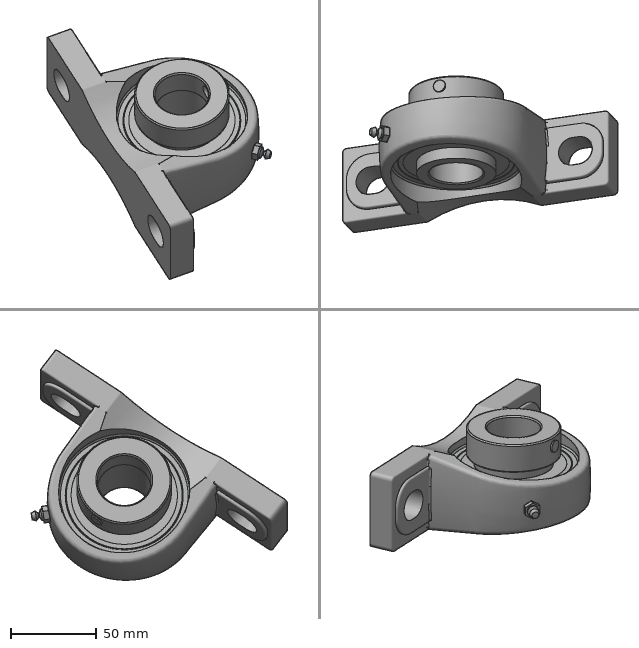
import cadquery as cq
import math

base_length = 167.0
base_thickness = 15.5
base_width = 47.8
base_corner_radius = 2.7
notch_half_length = 35.7
notch_depth = 8.2
notch_edge_radius = 2.5
rounded_edge_start = 41.4
small_radius = 1.0

pad_height = 2.2
pad_length = 43.5
pad_width = 34.7
pad_end_x = 80.3
pad_corner_radius = 14.4
slot_length = 21.0
slot_width = 17.4
slot_x = 63.5

bore_height = 47.8
body_radius = 45.3
body_crown_drop = 2.2
leg_draft = 1.0
body_slope = 8.0
body_edge_radius = 2.5

opening_diameter = 77.0
opening_chamfer = 1.0
ledge_z = 10.4

ring_sphere_diameter = 72.0
ring_half_width = 10.2
ring_chamfer = 0.5
ring_bore = 59.0
shield_diameter = 62.5
shield_thickness = 2.0
shaft_bore = 31.7
inner_ring_diameter = 46.8
inner_ring_bottom = -17.2
inner_ring_top = 18.9
inner_ring_spigot_diameter = 44.3
edge_chamfer = 0.8

collar_diameter = 55.6
collar_bottom = 16.0
collar_top = 33.7
screw_diameter = 7.3
screw_z = 27.5
screw_inner_radius = 23.4
screw_outer_radius = 28.7

nipple_angle = 45.0
nipple_shank_diameter = 6.0
nipple_shank_start = 41.8
nipple_hex_start = 44.8
nipple_hex_end = 48.5
nipple_hex_flats = 8.7
nipple_collar_diameter = 6.8
nipple_collar_end = 49.5
nipple_neck_diameter = 2.5
nipple_neck_start = 50.6
nipple_neck_end = 51.1
nipple_head_diameter = 6.0
nipple_head_widest = 52.8
nipple_tip = 55.1
nipple_tip_diameter = 4.0

half_width = base_width / 2
body_crown_radius = (half_width**2 + body_crown_drop**2) / (2 * body_crown_drop)
plate_root_half_width = half_width - body_edge_radius
pad_root_half_width = pad_width / 2 - small_radius
notch_radius = (notch_half_length**2 + notch_depth**2) / (2 * notch_depth)


def around_bore(profile):
    """Solid of revolution about the bore axis from a closed (radius, z) polygon."""
    return (
        cq.Workplane("XZ")
        .polyline(profile)
        .close()
        .revolve(360, (0, 0), (0, 1))
        .translate((0, bore_height, 0))
    )


def disc(diameter, z_low, z_high):
    """Cylinder on the bore axis between two heights."""
    return (
        cq.Workplane("XY", origin=(0, bore_height, z_low))
        .circle(diameter / 2)
        .extrude(z_high - z_low)
    )


def along_y(plan, y_low, y_high):
    """Extrude an XZ sketch made at y = 0 over a range of y."""
    return plan.extrude(-(y_high - y_low)).translate((0, y_low, 0))


def notch_cutters(length):
    """Two large cylinders that waist the base plate from above and below."""
    axis_z = half_width - notch_depth + notch_radius
    places = [(0, axis_z), (0, -axis_z)]
    return cq.Workplane("XZ").pushPoints(places).circle(notch_radius).extrude(-length)


def base_plate():
    """Waisted plate whose rear edges are rounded outside the body."""
    plate = along_y(cq.Workplane("XZ").rect(base_length, base_width), 0, base_thickness)
    plate = plate.edges("|Y").fillet(base_corner_radius)
    plate = plate.cut(notch_cutters(base_thickness))
    notch_region = cq.selectors.BoxSelector(
        (-rounded_edge_start, 0, -base_width),
        (rounded_edge_start, base_thickness, base_width),
    )
    plate = plate.edges("|Y").edges(notch_region).fillet(notch_edge_radius)
    middle = along_y(
        cq.Workplane("XZ").rect(2 * rounded_edge_start, base_width), 0, base_thickness
    )
    square_middle = plate.intersect(middle)
    return plate.faces(">Y").edges().fillet(small_radius).union(square_middle)


def bolt_pad(side):
    """Raised pad behind the plate; its inner end runs into the body."""
    centre_x = side * (pad_end_x - pad_length / 2)
    outer_face = ">X" if side > 0 else "<X"
    sketch = cq.Workplane("XZ").center(centre_x, 0).rect(pad_length, pad_width)
    pad = along_y(sketch, base_thickness, base_thickness + pad_height)
    pad = pad.faces(outer_face).edges("|Y").fillet(pad_corner_radius)
    return pad.faces(">Y").edges().fillet(small_radius)


def bolt_slots():
    """Cutters for the two bolt slots, through plate and pads."""
    return (
        cq.Workplane("XZ")
        .pushPoints([(-slot_x, 0), (slot_x, 0)])
        .slot2D(slot_length, slot_width)
        .extrude(-(base_thickness + pad_height))
    )


def slope_cutter():
    """Material above the sloping top face of the body."""
    run = bore_height + body_radius
    drop = run * math.tan(math.radians(body_slope))
    return (
        cq.Workplane("YZ")
        .moveTo(base_thickness, half_width)
        .line(run, -drop)
        .line(0, 2 * drop)
        .line(-run, 0)
        .close()
        .extrude(base_length / 2, both=True)
    )


def body():
    """Crowned dome on the bore axis with drafted legs down to the plate."""
    edge_radius = body_radius - body_crown_drop
    dome = (
        cq.Workplane("XZ")
        .moveTo(0, -half_width)
        .lineTo(edge_radius, -half_width)
        .threePointArc((body_radius, 0), (edge_radius, half_width))
        .lineTo(0, half_width)
        .close()
        .revolve(180, (0, 0), (0, 1))
    )
    dome = dome.translate((0, bore_height, 0))
    legs = (
        cq.Workplane("XZ")
        .moveTo(-edge_radius, -half_width)
        .lineTo(edge_radius, -half_width)
        .threePointArc((body_radius, 0), (edge_radius, half_width))
        .lineTo(-edge_radius, half_width)
        .threePointArc((-body_radius, 0), (-edge_radius, -half_width))
        .close()
        .extrude(bore_height - base_thickness, taper=-leg_draft)
        .translate((0, bore_height, 0))
    )
    upper = slope_cutter()
    solid = dome.union(legs).cut(upper).cut(upper.mirror("XY"))
    return round_rim(solid)


def round_rim(solid):
    """Round the edge of both sloping faces, except where they meet the plate."""
    tilt = math.radians(body_slope)
    upward = cq.Vector(0, math.sin(tilt), math.cos(tilt))
    downward = cq.Vector(0, math.sin(tilt), -math.cos(tilt))
    sloping = solid.faces(cq.selectors.ParallelDirSelector(upward))
    sloping = sloping.add(solid.faces(cq.selectors.ParallelDirSelector(downward)))
    return sloping.edges("not(<Y)").fillet(body_edge_radius)


def root_fillet(height, strip_half_width):
    """Concave strips where both crowned leg sides rise from a face at the given height."""
    side_x = body_radius + (bore_height - height) * math.tan(math.radians(leg_draft))
    axis_x = body_radius - body_crown_radius
    half_angle = math.degrees(math.asin(strip_half_width / body_crown_radius))
    bend = small_radius * (1 - math.sqrt(0.5))
    strip = (
        cq.Workplane("XY")
        .moveTo(side_x - small_radius, height)
        .lineTo(side_x + small_radius, height)
        .threePointArc((side_x + bend, height + bend), (side_x, height + small_radius))
        .lineTo(side_x - small_radius, height + small_radius)
        .close()
        .revolve(2 * half_angle, (axis_x, 0), (axis_x, 1))
        .rotate((axis_x, 0, 0), (axis_x, 1, 0), -half_angle)
    )
    return strip.union(strip.mirror("YZ"))


def seat_cutter():
    """Spherical bearing seat with a chamfered opening at each end."""
    sphere = cq.Workplane("XY").sphere(ring_sphere_diameter / 2).translate((0, bore_height, 0))
    opening_radius = opening_diameter / 2
    floor_radius = opening_radius - opening_chamfer
    opening = around_bore(
        [
            (0, ledge_z),
            (floor_radius, ledge_z),
            (opening_radius, ledge_z + opening_chamfer),
            (opening_radius, base_width),
            (0, base_width),
        ]
    )
    return sphere.union(opening).union(opening.mirror("XY"))


def make_housing(nipple):
    """Plate, pads and body as one solid, pierced for the bearing, bolts and nipple."""
    solid = body().cut(notch_cutters(2 * bore_height)).union(base_plate())
    solid = solid.union(root_fillet(base_thickness, plate_root_half_width))
    solid = solid.union(bolt_pad(-1)).union(bolt_pad(1))
    solid = solid.union(root_fillet(base_thickness + pad_height, pad_root_half_width))
    return solid.cut(bolt_slots()).cut(seat_cutter()).cut(nipple)


def make_outer_ring():
    """Spherical outer ring with a seat for a shield at each end."""
    ring = cq.Workplane("XY").sphere(ring_sphere_diameter / 2).translate((0, bore_height, 0))
    ring = ring.intersect(disc(ring_sphere_diameter, -ring_half_width, ring_half_width))
    ring = ring.edges().chamfer(ring_chamfer)
    ring = ring.cut(disc(ring_bore, -ring_half_width, ring_half_width))
    shield_seat = disc(shield_diameter, ring_half_width - shield_thickness, ring_half_width)
    return ring.cut(shield_seat).cut(shield_seat.mirror("XY"))


def make_shield(end):
    """Flat annular shield between the rings; end is +1 (top) or -1 (bottom)."""
    inner_face = ring_half_width - shield_thickness
    shield = disc(shield_diameter, inner_face, ring_half_width)
    shield = shield.cut(disc(inner_ring_diameter, inner_face, ring_half_width))
    return shield if end > 0 else shield.mirror("XY")


def make_inner_ring():
    """Long inner ring whose spigot enters the collar recess."""
    bore_radius = shaft_bore / 2
    radius = inner_ring_diameter / 2
    spigot_radius = inner_ring_spigot_diameter / 2
    return around_bore(
        [
            (bore_radius + edge_chamfer, inner_ring_bottom),
            (radius, inner_ring_bottom),
            (radius, collar_bottom),
            (spigot_radius, collar_bottom),
            (spigot_radius, inner_ring_top),
            (bore_radius, inner_ring_top),
            (bore_radius, inner_ring_bottom + edge_chamfer),
        ]
    )


def make_set_screw():
    """Radial screw on the +Y side that stands slightly proud of the collar."""
    return (
        cq.Workplane("XZ", origin=(0, bore_height + screw_inner_radius, screw_z))
        .circle(screw_diameter / 2)
        .extrude(-(screw_outer_radius - screw_inner_radius))
    )


def make_collar():
    """Locking collar recessed over the inner ring, with a radial screw hole."""
    collar = disc(collar_diameter, collar_bottom, collar_top).edges().chamfer(edge_chamfer)
    bore = disc(shaft_bore, collar_bottom, collar_top)
    recess = disc(inner_ring_spigot_diameter, collar_bottom, inner_ring_top)
    collar = collar.cut(bore).cut(recess)
    bore_mouth = collar.faces(">Z").edges("%CIRCLE").edges(cq.selectors.RadiusNthSelector(0))
    collar = bore_mouth.chamfer(edge_chamfer)
    screw_hole = (
        cq.Workplane("XZ", origin=(0, bore_height, screw_z))
        .circle(screw_diameter / 2)
        .extrude(-collar_diameter)
    )
    return collar.cut(screw_hole)


def make_nipple():
    """Shank, hexagon, cone, neck and tapered head, built along +X and then turned."""
    hex_corners = nipple_hex_flats / math.cos(math.radians(30))
    hexagon = (
        cq.Workplane("YZ", origin=(nipple_hex_start, 0, 0))
        .transformed(rotate=(0, 0, 90))
        .polygon(6, hex_corners)
        .extrude(nipple_hex_end - nipple_hex_start)
    )
    turned = (
        cq.Workplane("XY")
        .moveTo(nipple_shank_start, 0)
        .lineTo(nipple_shank_start, nipple_shank_diameter / 2)
        .lineTo(nipple_hex_start, nipple_shank_diameter / 2)
        .lineTo(nipple_hex_start, nipple_collar_diameter / 2)
        .lineTo(nipple_collar_end, nipple_collar_diameter / 2)
        .lineTo(nipple_neck_start, nipple_neck_diameter / 2)
        .lineTo(nipple_neck_end, nipple_neck_diameter / 2)
        .lineTo(nipple_head_widest, nipple_head_diameter / 2)
        .lineTo(nipple_tip, nipple_tip_diameter / 2)
        .lineTo(nipple_tip, 0)
        .close()
        .revolve(360, (0, 0), (1, 0))
    )
    nipple = hexagon.union(turned).rotate((0, 0, 0), (0, 0, 1), nipple_angle)
    return nipple.translate((0, bore_height, 0))


nipple = make_nipple()
housing = make_housing(nipple)
outer_ring = make_outer_ring()
inner_ring = make_inner_ring()
shields = [make_shield(end) for end in (1, -1)]
collar = make_collar()
set_screw = make_set_screw()

result = cq.Compound.makeCompound(
    [
        housing.val(),
        outer_ring.val(),
        inner_ring.val(),
        *[shield.val() for shield in shields],
        collar.val(),
        set_screw.val(),
        nipple.val(),
    ]
)